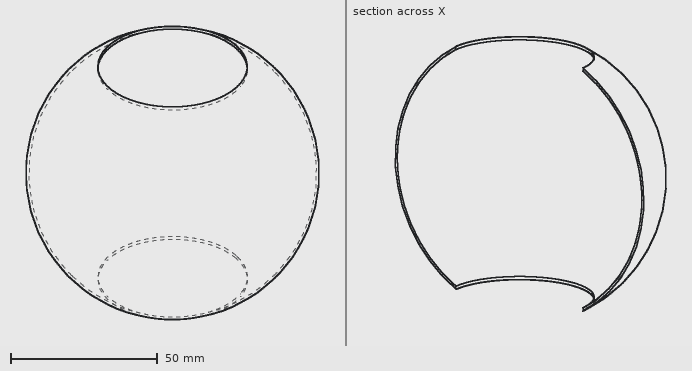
import cadquery as cq
import math

outer_radius = 50.0
wall = 1.0
height = 86.1

inner_radius = outer_radius - wall
half_height = height / 2
bore_radius = math.sqrt(outer_radius**2 - half_height**2)
lip_bottom = math.sqrt(inner_radius**2 - bore_radius**2)


def arc_middle(radius, end_height):
    """Middle of the arc from the equator up or down to end_height."""
    angle = math.asin(end_height / radius) / 2
    return (radius * math.cos(angle), radius * math.sin(angle))


wall_section = (
    cq.Workplane("XZ")
    .moveTo(bore_radius, -half_height)
    .threePointArc(arc_middle(outer_radius, -half_height), (outer_radius, 0))
    .threePointArc(arc_middle(outer_radius, half_height), (bore_radius, half_height))
    .lineTo(bore_radius, lip_bottom)
    .threePointArc(arc_middle(inner_radius, lip_bottom), (inner_radius, 0))
    .threePointArc(arc_middle(inner_radius, -lip_bottom), (bore_radius, -lip_bottom))
    .close()
)

result = wall_section.revolve(360, (0, 0, 0), (0, 1, 0))